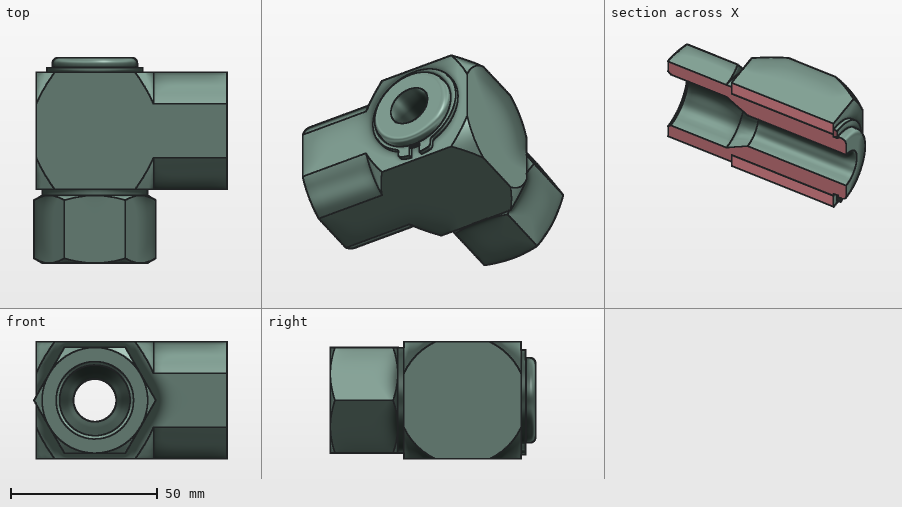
import cadquery as cq
import math


cube_side = 40.0
housing_length = 65.0
round_radius = 22.0

hex_flats = 36.0
hex_length = 23.0
hex_chamfer_angle = 30
collar_length = 2.0
journal_diameter = 29.05
end_length = 5.0
end_fillet = 2.0
through_diameter = 14.5
socket_diameter = 24.1
socket_depth = hex_length
mouth_diameter = 26.4
taper_angle = 60

groove_width = 1.7
groove_diameter = 27.6
ring_thickness = 1.55
ring_outer_radius = 16.4
ring_offset = 0.85
ring_gap = 4.0
lug_span = 12.6
lug_radius = 18.7
lug_root_fillet = 1.8
lug_corner_fillet = 1.5

half_cube = cube_side / 2
arm_end_x = housing_length - half_cube
cube_corner_radius = half_cube * math.sqrt(2)
hex_corner_radius = hex_flats / math.sqrt(3)
hex_back_y = -half_cube - collar_length
hex_front_y = hex_back_y - hex_length
spindle_end_y = half_cube + end_length


def revolve_about_y(points):
    """Solid of revolution about Y from (radius, y) points."""
    return cq.Workplane("XY").polyline(points).close().revolve(360, (0, 0, 0), (0, 1, 0))


def cylinder_along_y(radius, start_y, end_y):
    return (
        cq.Workplane("XZ", origin=(0, start_y, 0))
        .circle(radius)
        .extrude(start_y - end_y)
    )


def make_housing():
    block = cq.Workplane("XY").box(housing_length, cube_side, cube_side)
    block = block.translate((arm_end_x - housing_length / 2, 0, 0))

    corner_cut = cube_corner_radius - round_radius
    envelope = (
        cq.Workplane("XY")
        .polyline([
            (-half_cube, 0),
            (-half_cube, round_radius),
            (-half_cube + corner_cut, cube_corner_radius),
            (half_cube - corner_cut, cube_corner_radius),
            (half_cube, round_radius),
            (arm_end_x, round_radius),
            (arm_end_x, 0),
        ])
        .close()
        .revolve(360, (0, 0, 0), (1, 0, 0))
    )
    journal_hole = cylinder_along_y(journal_diameter / 2, -half_cube, half_cube)
    return block.intersect(envelope).cut(journal_hole)


def make_hex_head():
    head = (
        cq.Workplane("XZ", origin=(0, hex_back_y, 0))
        .polygon(6, 2 * hex_corner_radius)
        .extrude(hex_length)
    )
    flat_radius = hex_flats / 2
    chamfer_length = (hex_corner_radius - flat_radius) * math.tan(math.radians(hex_chamfer_angle))
    envelope = revolve_about_y([
        (0, hex_front_y),
        (flat_radius, hex_front_y),
        (hex_corner_radius, hex_front_y + chamfer_length),
        (hex_corner_radius, hex_back_y - chamfer_length),
        (flat_radius, hex_back_y),
        (0, hex_back_y),
    ])
    return head.intersect(envelope)


def make_spindle_bore():
    socket_radius = socket_diameter / 2
    mouth_radius = mouth_diameter / 2
    through_radius = through_diameter / 2
    socket_bottom_y = hex_front_y + socket_depth
    taper_length = (socket_radius - through_radius) / math.tan(math.radians(taper_angle / 2))
    return revolve_about_y([
        (0, hex_front_y),
        (mouth_radius, hex_front_y),
        (socket_radius, hex_front_y + mouth_radius - socket_radius),
        (socket_radius, socket_bottom_y),
        (through_radius, socket_bottom_y + taper_length),
        (through_radius, spindle_end_y),
        (0, spindle_end_y),
    ])


def make_spindle():
    collar = cylinder_along_y(hex_flats / 2, hex_back_y, -half_cube)
    journal = cylinder_along_y(journal_diameter / 2, -half_cube, spindle_end_y)
    journal = journal.faces(">Y").edges().fillet(end_fillet)
    groove_end_y = half_cube + groove_width
    groove = cylinder_along_y(journal_diameter / 2, half_cube, groove_end_y).cut(
        cylinder_along_y(groove_diameter / 2, half_cube, groove_end_y)
    )
    return (
        make_hex_head()
        .union(collar)
        .union(journal)
        .cut(groove)
        .cut(make_spindle_bore())
    )


def make_retaining_ring():
    start_y = half_cube
    end_y = half_cube + ring_thickness
    band = cylinder_along_y(ring_outer_radius, start_y, end_y).translate((0, 0, ring_offset))

    lugs = (
        cq.Workplane("XY")
        .box(lug_span, ring_thickness, lug_radius, centered=(True, False, False))
        .translate((0, start_y, -lug_radius))
        .intersect(cylinder_along_y(lug_radius, start_y, end_y))
    )
    lugs = lugs.edges("|Y").edges("<Z").fillet(lug_corner_fillet)
    ring = band.union(lugs)

    root_z = ring_offset - math.sqrt(ring_outer_radius ** 2 - (lug_span / 2) ** 2)
    for root_x in (-lug_span / 2, lug_span / 2):
        root = cq.Vector(root_x, start_y + ring_thickness / 2, root_z)
        ring = ring.edges(cq.NearestToPointSelector(root.toTuple())).fillet(lug_root_fillet)

    opening = (
        cq.Workplane("XY")
        .box(ring_gap, ring_thickness, lug_radius, centered=(True, False, False))
        .translate((0, start_y, -lug_radius))
    )
    shaft_hole = cylinder_along_y(groove_diameter / 2, start_y, end_y)
    return ring.cut(opening).cut(shaft_hole)


housing = make_housing()
spindle = make_spindle()
retaining_ring = make_retaining_ring()

result = cq.Compound.makeCompound([housing.val(), spindle.val(), retaining_ring.val()])